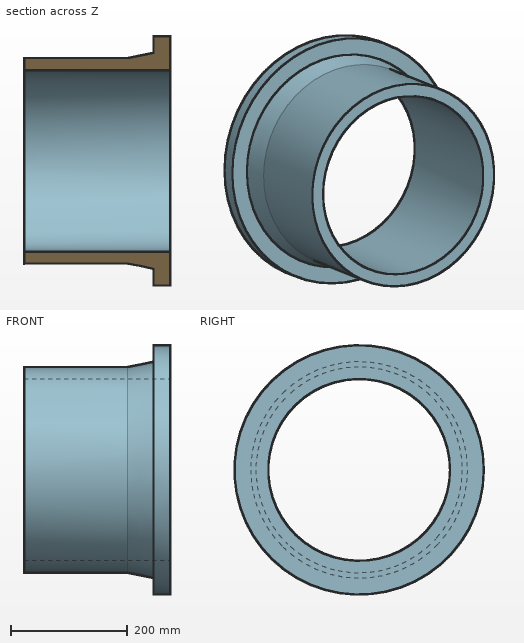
import cadquery as cq

total_length = 252.0
flange_diameter = 430.0
pipe_diameter = 355.0
bore_diameter = 312.5

flange_thickness = 29.2
neck_length = 44.5
neck_end_diameter = 373.2

pipe_end_x = -total_length / 2
flange_face_x = total_length / 2
flange_back_x = flange_face_x - flange_thickness
neck_start_x = flange_back_x - neck_length

half_section = (
    cq.Workplane("XY")
    .moveTo(pipe_end_x, bore_diameter / 2)
    .lineTo(pipe_end_x, pipe_diameter / 2)
    .lineTo(neck_start_x, pipe_diameter / 2)
    .lineTo(flange_back_x, neck_end_diameter / 2)
    .lineTo(flange_back_x, flange_diameter / 2)
    .lineTo(flange_face_x, flange_diameter / 2)
    .lineTo(flange_face_x, bore_diameter / 2)
    .close()
)

result = half_section.revolve(360, (0, 0, 0), (1, 0, 0))